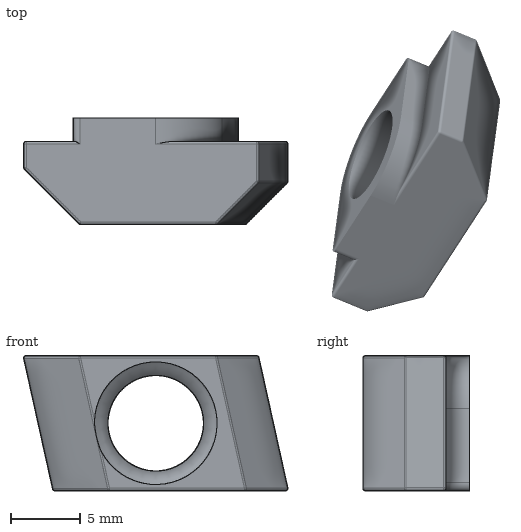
import cadquery as cq
import math

length = 19.06
height = 9.75
body_thickness = 6.0
boss_thickness = 1.7
slant_angle = 12.5

left_bevel = 4.05
right_bevel = 3.05

body_edge_radius = 0.2
boss_corner_radius = 0.5
hole_diameter = 6.88
countersink_diameter = 8.85
countersink_angle = 90.0

half_height = height / 2
slant_tan = math.tan(math.radians(slant_angle))
slant_cos = math.cos(math.radians(slant_angle))
back_y = (body_thickness + boss_thickness) / 2
body_back_y = back_y - boss_thickness
front_y = -back_y

rounding_loss = body_edge_radius * (slant_tan + 1 / slant_cos - 1)
body_half_length = length / 2 + rounding_loss - half_height * slant_tan


def make_body():
    """Beveled profile swept along the slant, with every edge rounded."""
    shift = half_height * slant_tan
    profile = [
        (-body_half_length, body_back_y),
        (-body_half_length, front_y + left_bevel),
        (-body_half_length + left_bevel, front_y),
        (body_half_length - right_bevel, front_y),
        (body_half_length, front_y + right_bevel),
        (body_half_length, body_back_y),
    ]
    bottom = [(x + shift, y) for x, y in profile]
    path = cq.Workplane("XZ").moveTo(shift, -half_height).lineTo(-shift, half_height)
    body = cq.Workplane("XY", origin=(0, 0, -half_height)).polyline(bottom).close().sweep(path)
    return body.edges().fillet(body_edge_radius)


def make_boss():
    """Parallelogram boss with two opposite corners rounded about the hole axis."""
    boss_half_length = half_height / slant_cos
    shift = half_height * slant_tan
    tangent_x = half_height * slant_cos
    tangent_z = half_height * math.sin(math.radians(slant_angle))
    middle_angle = math.radians((90 + slant_angle) / 2)
    middle_x = half_height * math.cos(middle_angle)
    middle_z = half_height * math.sin(middle_angle)
    sharp_x = boss_half_length + shift
    boss_depth = boss_thickness + body_edge_radius
    boss = (
        cq.Workplane("XZ", origin=(0, back_y, 0))
        .moveTo(0, half_height)
        .threePointArc((middle_x, middle_z), (tangent_x, tangent_z))
        .lineTo(sharp_x, -half_height)
        .lineTo(0, -half_height)
        .threePointArc((-middle_x, -middle_z), (-tangent_x, -tangent_z))
        .lineTo(-sharp_x, half_height)
        .close()
        .extrude(boss_depth)
    )
    sharp_corners = boss.edges("|Y").edges("<X or >X")
    return sharp_corners.fillet(boss_corner_radius)


def cut_countersunk_hole(part):
    """Through hole along Y, countersunk from the front face."""
    front = cq.Workplane("XZ", origin=(0, front_y, 0))
    hole = front.circle(hole_diameter / 2).extrude(front_y - back_y)
    cone_depth = (countersink_diameter - hole_diameter) / 2 / math.tan(math.radians(countersink_angle / 2))
    cone = cq.Solid.makeCone(
        countersink_diameter / 2,
        hole_diameter / 2,
        cone_depth,
        pnt=cq.Vector(0, front_y, 0),
        dir=cq.Vector(0, 1, 0),
    )
    return part.cut(hole).cut(cq.Workplane(cone))


result = cut_countersunk_hole(make_body().union(make_boss()))